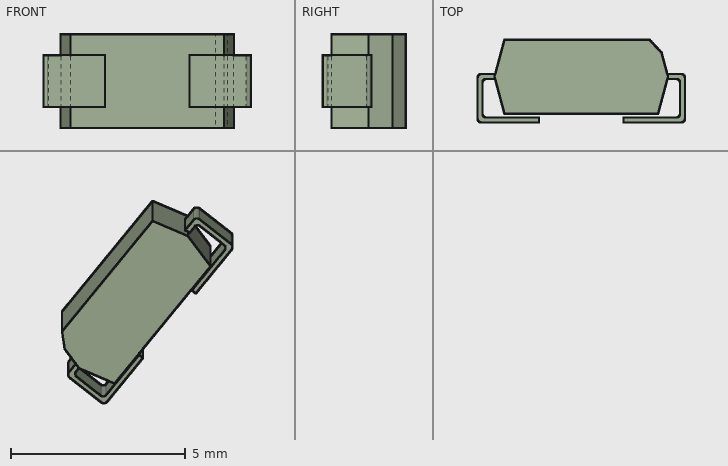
import cadquery as cq

BODY_HEIGHT = 2.7
BODY_WIDTH = 4.99
BODY_FACE_WIDTH = 4.42
BODY_FRONT_Y = 0.25
BODY_BACK_Y = 2.39
CHAMFER_WIDTH = 0.25
CHAMFER_DEPTH = 0.375

LEAD_SPAN = 5.97
LEAD_HEIGHT = 1.49
LEAD_THICKNESS = 0.15
LEAD_BACK_Y = 1.4
FOOT_LENGTH = 1.775
OUTER_BEND_RADIUS = 0.125
INNER_BEND_RADIUS = 0.11
LEAD_EMBED = 0.12

half_width = BODY_WIDTH / 2
half_face = BODY_FACE_WIDTH / 2
parting_y = (BODY_FRONT_Y + BODY_BACK_Y) / 2
side_slope = (half_width - half_face) / (BODY_BACK_Y - parting_y)


def make_body():
    """Tapered body with the polarity chamfer on the +X back edge."""
    chamfer_side_x = half_face + CHAMFER_DEPTH * side_slope
    outline = [
        (-half_face, BODY_FRONT_Y),
        (half_face, BODY_FRONT_Y),
        (half_width, parting_y),
        (chamfer_side_x, BODY_BACK_Y - CHAMFER_DEPTH),
        (half_face - CHAMFER_WIDTH, BODY_BACK_Y),
        (-half_face, BODY_BACK_Y),
        (-half_width, parting_y),
    ]
    return cq.Workplane("XY").polyline(outline).close().extrude(BODY_HEIGHT / 2, both=True)


def make_lead():
    """C-shaped lead on the +X side, from the body side round to the foot."""
    outer_x = LEAD_SPAN / 2
    inner_x = outer_x - LEAD_THICKNESS
    foot_x = outer_x - FOOT_LENGTH
    root_x = half_width - LEAD_EMBED
    inner_back_y = LEAD_BACK_Y - LEAD_THICKNESS
    outline = [
        (foot_x, 0),
        (outer_x, 0),
        (outer_x, LEAD_BACK_Y),
        (root_x, LEAD_BACK_Y),
        (root_x, inner_back_y),
        (inner_x, inner_back_y),
        (inner_x, LEAD_THICKNESS),
        (foot_x, LEAD_THICKNESS),
    ]
    strip = cq.Workplane("XY").polyline(outline).close().extrude(LEAD_HEIGHT / 2, both=True)

    def bend_edges(x):
        return cq.selectors.BoxSelector(
            (x - LEAD_THICKNESS / 2, -LEAD_THICKNESS, -LEAD_HEIGHT),
            (x + LEAD_THICKNESS / 2, LEAD_SPAN, LEAD_HEIGHT),
        )

    strip = strip.edges("|Z").edges(bend_edges(outer_x)).fillet(OUTER_BEND_RADIUS)
    return strip.edges("|Z").edges(bend_edges(inner_x)).fillet(INNER_BEND_RADIUS)


right_lead = make_lead()
left_lead = right_lead.mirror("YZ")
result = make_body().union(right_lead).union(left_lead)